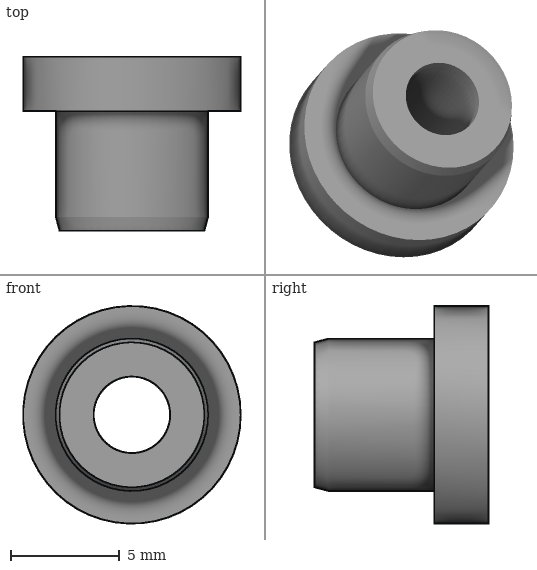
import cadquery as cq
import math

total_length = 8.0
flange_diameter = 10.0
flange_thickness = 2.5
body_diameter = 7.0
bore_diameter = 3.5
taper_length = 0.65
taper_angle = 15.0

flange_radius = flange_diameter / 2
body_radius = body_diameter / 2
bore_radius = bore_diameter / 2
tip_radius = body_radius - taper_length * math.tan(math.radians(taper_angle))

flange_back = total_length / 2
flange_face = flange_back - flange_thickness
tip_face = -total_length / 2

half_section = [
    (bore_radius, tip_face),
    (tip_radius, tip_face),
    (body_radius, tip_face + taper_length),
    (body_radius, flange_face),
    (flange_radius, flange_face),
    (flange_radius, flange_back),
    (bore_radius, flange_back),
]

result = cq.Workplane("XY").polyline(half_section).close().revolve(360, (0, 0, 0), (0, 1, 0))